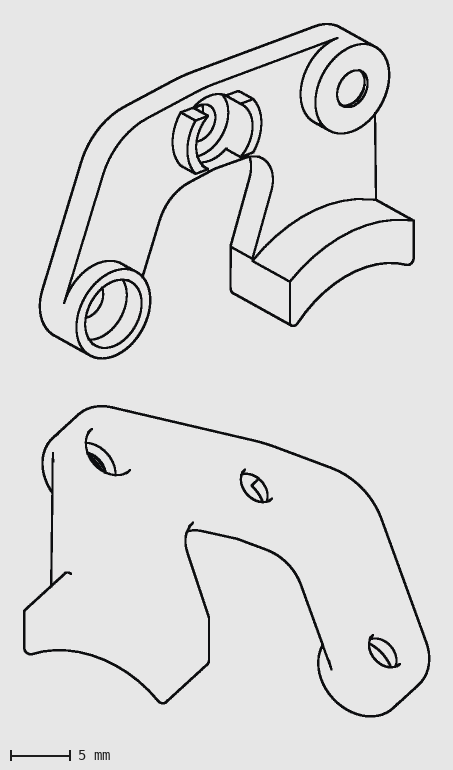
import cadquery as cq
import math

plate_thickness = 3.15
boss_height = 5.1
block_height = 8.08

rim_radius = 0.4
foot_end_radius = 0.51

corner_hole = (0.0, 0.0)
middle_hole = (-13.83, 0.0)
tip_hole = (-25.82, -12.76)
hole_diameter = 3.3

corner_bore_diameter = 4.7
corner_floor_diameter = 3.5
corner_bore_depth = 4.1

boss_diameter = 8.0
boss_radius = boss_diameter / 2
recess_diameter = 6.1
middle_recess_floor = 1.9
tab_height = 5.0

bend_angle = math.radians(8.0)
bend_half_width = 4.03
arm_angle = math.radians(68.5)
top_bend_radius = 15.0
outer_shoulder_radius = 6.0
inner_shoulder_radius = 4.0

notch_top_z = -4.08
notch_radius = 3.0
notch_lean = math.radians(19.65)

side_y = 4.2
side_lean_end_z = -15.0
toe_y = -9.2
toe_corner_z = -13.75

saddle_center = (-1.35, -25.2)
saddle_radius = 9.95
block_top_center = (-1.4, -24.2)
block_top_radius = 12.88
block_tangent_y = 3.35


def arc_height(center, radius, y):
    """Z of the upper half of a circle at the given Y."""
    return center[1] + math.sqrt(radius ** 2 - (y - center[0]) ** 2)


toe_z = arc_height(saddle_center, saddle_radius, toe_y)
heel_z = arc_height(saddle_center, saddle_radius, side_y)


def offset_point(point, angle, offset):
    """Point at `offset` above a line through `point` that has the given slope angle."""
    return (point[0] - offset * math.sin(angle), point[1] + offset * math.cos(angle))


def crossing(point_a, angle_a, point_b, angle_b):
    """Crossing of two lines, each given by a point and a slope angle."""
    slope_a = math.tan(angle_a)
    slope_b = math.tan(angle_b)
    y = (point_b[1] - point_a[1] + slope_a * point_a[0] - slope_b * point_b[0]) / (slope_a - slope_b)
    return (y, point_a[1] + slope_a * (y - point_a[0]))


def corner_rounding(before, corner, after, radius):
    """Start, middle and end of the arc that rounds a corner between two straight runs."""
    here = cq.Vector(*corner)
    to_before = (cq.Vector(*before) - here).normalized()
    to_after = (cq.Vector(*after) - here).normalized()
    half_angle = to_before.getAngle(to_after) / 2
    reach = radius / math.tan(half_angle)
    middle_distance = radius / math.sin(half_angle) - radius
    middle = here + (to_before + to_after).normalized() * middle_distance
    points = (here + to_before * reach, middle, here + to_after * reach)
    return [(point.x, point.y) for point in points]


def rounded_outline(corners):
    """Closed YZ outline through (point, radius) corners; the last corner must be sharp."""
    outline = cq.Workplane("YZ").moveTo(*corners[-1][0])
    for i, (corner, radius) in enumerate(corners):
        if radius == 0:
            outline = outline.lineTo(*corner)
            continue
        start, middle, end = corner_rounding(corners[i - 1][0], corner, corners[i + 1][0], radius)
        outline = outline.lineTo(*start).threePointArc(middle, end)
    return outline.close()


def cylinder(center, diameter, start, end):
    """Round bar along X between two X levels."""
    return cq.Workplane("YZ", origin=(start, *center)).circle(diameter / 2).extrude(end - start)


def cone_45(center, start_diameter, end_diameter, start):
    """Cone along X with 45 degree sides, beginning at the X level `start`."""
    height = abs(end_diameter - start_diameter) / 2
    cone = cq.Solid.makeCone(
        start_diameter / 2, end_diameter / 2, height, cq.Vector(start, *center), cq.Vector(1, 0, 0)
    )
    return cq.Workplane(cone)


def make_plate():
    """Plate with the arm cut off square at the tip hole; the tip boss rounds it off."""
    bend_top = offset_point(middle_hole, bend_angle, bend_half_width)
    bend_bottom = offset_point(middle_hole, bend_angle, -bend_half_width)
    arm_outer = offset_point(tip_hole, arm_angle, boss_radius)
    arm_inner = offset_point(tip_hole, arm_angle, -boss_radius)

    side_low_point = (side_y, side_lean_end_z)
    side_lean = math.atan2(side_y, -side_lean_end_z) - math.asin(boss_radius / math.hypot(*side_low_point))
    side_top_y = side_y - (boss_radius - side_lean_end_z) * math.tan(side_lean)
    notch_corner_y = toe_y + (notch_top_z - toe_corner_z) * math.tan(notch_lean)

    corners = [
        ((side_top_y, boss_radius), boss_radius),
        (crossing((0, boss_radius), 0, bend_top, bend_angle), top_bend_radius),
        (crossing(bend_top, bend_angle, arm_outer, arm_angle), outer_shoulder_radius),
        (arm_outer, 0),
        (arm_inner, 0),
        (crossing(bend_bottom, bend_angle, arm_inner, arm_angle), inner_shoulder_radius),
        (bend_bottom, 0),
        ((notch_corner_y, notch_top_z), notch_radius),
        ((toe_y, toe_corner_z), 0),
        ((toe_y, toe_z), 0),
        ((side_y, toe_z), 0),
        (side_low_point, 0),
    ]
    return rounded_outline(corners).extrude(plate_thickness)


def make_block():
    """Thick foot block whose top follows an arc, then runs straight on to the side."""
    tangent_z = arc_height(block_top_center, block_top_radius, block_tangent_y)
    tangent_slope = (block_tangent_y - block_top_center[0]) / (tangent_z - block_top_center[1])
    side_z = tangent_z - tangent_slope * (side_y - block_tangent_y)
    arc_top = (block_top_center[0], block_top_center[1] + block_top_radius)
    arc_end = (toe_y, arc_height(block_top_center, block_top_radius, toe_y))
    return (
        cq.Workplane("YZ")
        .moveTo(side_y, toe_z)
        .lineTo(side_y, side_z)
        .lineTo(block_tangent_y, tangent_z)
        .threePointArc(arc_top, arc_end)
        .lineTo(toe_y, toe_z)
        .close()
        .extrude(block_height)
    )


def shape_foot(body):
    """Cut the saddle under the foot and round its toe and heel."""
    body = body.cut(cylinder(saddle_center, 2 * saddle_radius, 0, block_height))
    for y, z in ((toe_y, toe_z), (side_y, heel_z)):
        end_edge = cq.selectors.NearestToPointSelector((block_height / 2, y, z))
        body = body.edges("|X").edges(end_edge).fillet(foot_end_radius)
    return body


def add_bosses(body):
    """Add two round bosses, and a middle one trimmed level to leave two side tabs."""
    for center in (corner_hole, tip_hole):
        body = body.union(cylinder(center, boss_diameter, 0, boss_height))
    tab_band = cq.Workplane("XY", origin=(0, *middle_hole)).box(2 * boss_height, boss_diameter, tab_height)
    return body.union(cylinder(middle_hole, boss_diameter, 0, boss_height).intersect(tab_band))


def cut_holes(body):
    for center in (corner_hole, middle_hole, tip_hole):
        body = body.cut(cylinder(center, hole_diameter, 0, boss_height))

    body = body.cut(cylinder(corner_hole, corner_bore_diameter, 0, corner_bore_depth))
    body = body.cut(cone_45(corner_hole, corner_bore_diameter, corner_floor_diameter, corner_bore_depth))

    body = body.cut(cylinder(middle_hole, recess_diameter, middle_recess_floor, boss_height))

    countersink_start = plate_thickness - (recess_diameter - hole_diameter) / 2
    body = body.cut(cone_45(tip_hole, hole_diameter, recess_diameter, countersink_start))
    return body.cut(cylinder(tip_hole, recess_diameter, plate_thickness, boss_height))


body = make_plate().union(make_block())
body = shape_foot(body)
body = add_bosses(body)
body = cut_holes(body)
result = body.faces("<X").edges().fillet(rim_radius)